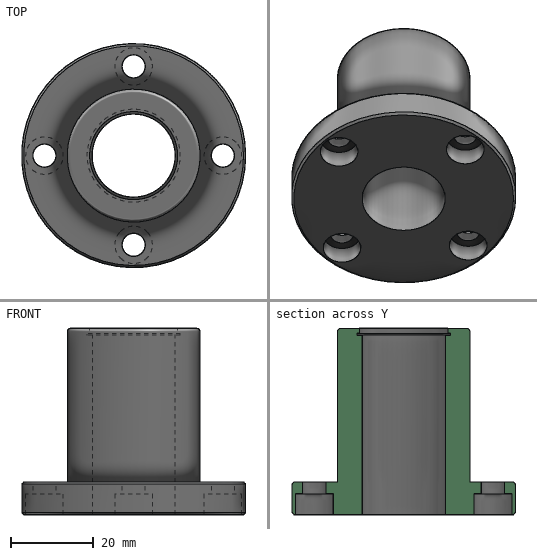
import cadquery as cq

flange_diameter = 54.0
flange_thickness = 8.0
flange_chamfer = 0.55

total_height = 45.0
sleeve_diameter = 32.0
sleeve_fillet = 0.8

bore_diameter = 20.0
recess_diameter = 21.2
recess_depth = 1.25
groove_diameter = 22.4
groove_width = 0.45

hole_count = 4
hole_circle_diameter = 43.0
hole_diameter = 5.5
counterbore_diameter = 9.0
counterbore_depth = 5.1


def cylinder(diameter, bottom, height):
    """Vertical cylinder on the part axis, starting at the given height."""
    return cq.Workplane("XY").workplane(offset=bottom).circle(diameter / 2).extrude(height)


def make_body():
    """Chamfered flange joined to a sleeve with a rounded upper rim."""
    flange = cylinder(flange_diameter, 0, flange_thickness).edges().chamfer(flange_chamfer)
    sleeve = cylinder(sleeve_diameter, 0, total_height).edges(">Z").fillet(sleeve_fillet)
    return flange.union(sleeve)


def make_bore():
    """Through bore with its upper recess and the undercut groove beneath it."""
    bore = cylinder(bore_diameter, 0, total_height)
    recess_floor = total_height - recess_depth
    recess = cylinder(recess_diameter, recess_floor, recess_depth)
    groove = cylinder(groove_diameter, recess_floor - groove_width, groove_width)
    return bore.union(recess).union(groove)


def hole_ring(diameter, depth):
    """Equally spaced cylinders on the hole circle, rising from the underside."""
    return (
        cq.Workplane("XY")
        .polarArray(hole_circle_diameter / 2, 0, 360, hole_count)
        .circle(diameter / 2)
        .extrude(depth)
    )


result = (
    make_body()
    .cut(make_bore())
    .cut(hole_ring(hole_diameter, flange_thickness))
    .cut(hole_ring(counterbore_diameter, counterbore_depth))
)